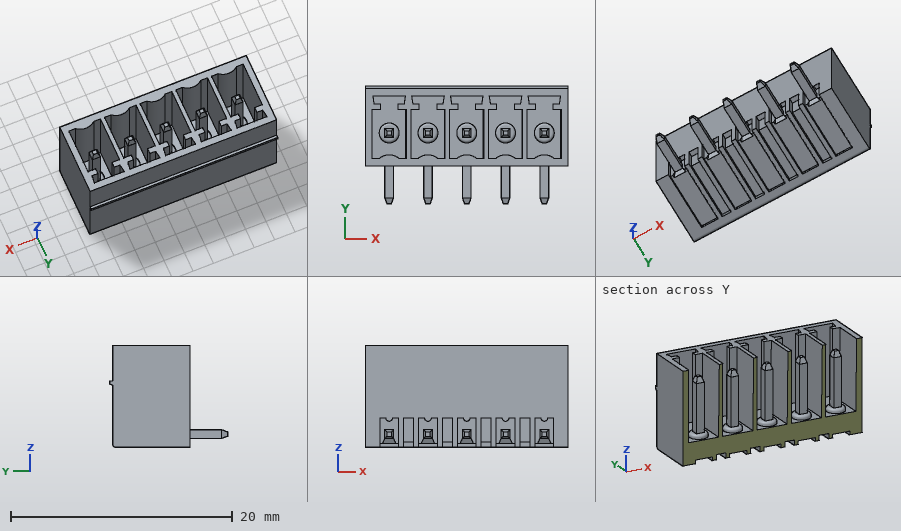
import cadquery as cq


pin_count = 5
pitch = 3.5
end_margin = 2.15
housing_width = (pin_count - 1) * pitch + 2 * end_margin
housing_depth = 7.0
housing_height = 9.2
bottom_rear_radius = 0.3

ridge_projection = 0.25
ridge_top = 6.0
ridge_tip_height = 0.3
ridge_root_height = 0.4

pocket_floor = 2.2
pocket_half_width = 1.55
pocket_front = 0.69
rail_front = 5.1
rail_rear = 5.62
rail_gap_half = 0.8
pocket_rear = 6.36
rear_half_width_wide = 1.47
rear_half_width_narrow = 1.36
bulge_half_chord = 0.9
bulge_height = 0.34
side_wall_draft = 0.08
rear_wall_draft = 0.03

pin_size = 0.8
pin_tip_size = 0.4
pin_taper = 0.55
pin_top = 8.0
pin_y = 3.0
pin_projection = 3.4
pin_axis_height = 1.2
collar_diameter = 1.8
collar_height = 0.4
collar_radius = 0.25

recess_height = 2.65
channel_rear = 6.0
pin_recess_width = 1.7
pin_recess_depth = 0.4
pin_channel_height = 0.35
web_recess_width = 0.92
web_recess_depth = 0.5
web_channel_height = 0.5
recess_rib_radius = 0.3
relief_top_width = pin_size
relief_bottom_width = 1.2
relief_depth = 0.26

pin_positions = [(i - (pin_count - 1) / 2) * pitch for i in range(pin_count)]
web_positions = [x + pitch / 2 for x in pin_positions[:-1]]


def box(width, y_start, y_end, z_start, z_end):
    """Block centred on X = 0 between the given Y and Z limits."""
    size = (width, y_end - y_start, z_end - z_start)
    return cq.Workplane("XY").box(*size, centered=(True, False, False)).translate((0, y_start, z_start))


def extrude_along_x(points, x_start, x_end):
    """Prism along X with its outline given as (Y, Z) points."""
    outline = cq.Workplane("YZ", origin=(x_start, 0, 0)).polyline(points).close()
    return outline.extrude(x_end - x_start)


def make_housing():
    block = box(housing_width, 0, housing_depth, 0, housing_height)
    block = block.edges("|X and >Y and <Z").fillet(bottom_rear_radius)
    rear_tip = housing_depth + ridge_projection
    ridge_outline = [
        (pocket_rear, ridge_top),
        (rear_tip, ridge_top),
        (rear_tip, ridge_top - ridge_tip_height),
        (housing_depth, ridge_top - ridge_root_height),
        (pocket_rear, ridge_top - ridge_root_height),
    ]
    return block.union(extrude_along_x(ridge_outline, -housing_width / 2, housing_width / 2))


def make_pocket():
    """Pocket cutter with a keyed rear part, a bulged front, and draft on its +X and rear walls."""
    outline = (
        cq.Workplane("XY", origin=(0, 0, pocket_floor))
        .moveTo(-pocket_half_width, pocket_front)
        .lineTo(-bulge_half_chord, pocket_front)
        .threePointArc((0, pocket_front + bulge_height), (bulge_half_chord, pocket_front))
        .lineTo(pocket_half_width, pocket_front)
        .lineTo(pocket_half_width, rail_front)
        .lineTo(rail_gap_half, rail_front)
        .lineTo(rail_gap_half, rail_rear)
        .lineTo(rear_half_width_narrow, rail_rear)
        .lineTo(rear_half_width_wide, pocket_rear)
        .lineTo(-rear_half_width_wide, pocket_rear)
        .lineTo(-rear_half_width_narrow, rail_rear)
        .lineTo(-rail_gap_half, rail_rear)
        .lineTo(-rail_gap_half, rail_front)
        .lineTo(-pocket_half_width, rail_front)
        .close()
    )
    pocket = outline.extrude(housing_height - pocket_floor)
    side_draft = (
        cq.Workplane("XZ", origin=(0, rail_front, 0))
        .moveTo(pocket_half_width, pocket_floor)
        .lineTo(pocket_half_width, housing_height)
        .lineTo(pocket_half_width - side_wall_draft, pocket_floor)
        .close()
        .extrude(rail_front - pocket_front)
    )
    rear_draft_outline = [
        (pocket_rear, pocket_floor),
        (pocket_rear, housing_height),
        (pocket_rear - rear_wall_draft, pocket_floor),
    ]
    rear_draft = extrude_along_x(rear_draft_outline, -rear_half_width_wide, rear_half_width_wide)
    return pocket.cut(side_draft).cut(rear_draft)


def make_pin_recess():
    """Front recess under a half-round rib, with its bottom channel and the sloped relief below the pin."""
    recess = box(pin_recess_width, 0, pin_recess_depth, 0, recess_height)
    rib = (
        cq.Workplane("XZ")
        .center(0, recess_height)
        .circle(recess_rib_radius)
        .extrude(-pin_recess_depth)
    )
    channel = box(pin_recess_width, 0, channel_rear, 0, pin_channel_height)
    return recess.cut(rib).union(channel).union(make_relief())


def make_relief():
    relief_top = pin_axis_height - pin_size / 2
    relief_rear = pin_recess_depth + relief_depth
    front_outline = [
        (-relief_bottom_width / 2, pin_channel_height),
        (relief_bottom_width / 2, pin_channel_height),
        (relief_top_width / 2, relief_top),
        (-relief_top_width / 2, relief_top),
    ]
    side_outline = [
        (pin_recess_depth, pin_channel_height),
        (relief_rear, pin_channel_height),
        (pin_recess_depth, relief_top),
    ]
    trapezoid = cq.Workplane("XZ").polyline(front_outline).close().extrude(-relief_rear)
    wedge = extrude_along_x(side_outline, -relief_bottom_width / 2, relief_bottom_width / 2)
    return trapezoid.intersect(wedge)


def make_web_recess():
    recess = box(web_recess_width, 0, web_recess_depth, 0, recess_height)
    return recess.union(box(web_recess_width, 0, channel_rear, 0, web_channel_height))


def make_square_leg(length):
    """Square leg along +Z from the origin, with a tapered tip."""
    shank = box(pin_size, -pin_size / 2, pin_size / 2, 0, length - pin_taper)
    tip = (
        cq.Workplane("XY", origin=(0, 0, length - pin_taper))
        .rect(pin_size, pin_size)
        .workplane(offset=pin_taper)
        .rect(pin_tip_size, pin_tip_size)
        .loft(combine=True)
    )
    return shank.union(tip)


def make_pin():
    """Right-angle pin: an upright leg in the pocket and a level leg out of the front."""
    bottom = pin_axis_height - pin_size / 2
    upright = make_square_leg(pin_top - bottom).translate((0, pin_y, bottom))
    level_length = pin_y + pin_projection
    level = make_square_leg(level_length).rotate((0, 0, 0), (1, 0, 0), 90)
    level = level.translate((0, pin_y, pin_axis_height))
    collar = (
        cq.Workplane("XY", origin=(0, pin_y, pocket_floor))
        .circle(collar_diameter / 2)
        .extrude(collar_height)
        .faces(">Z")
        .edges()
        .fillet(collar_radius)
    )
    return upright.union(level).union(collar)


result = make_housing()

pocket = make_pocket()
pin_recess = make_pin_recess()
for x in pin_positions:
    result = result.cut(pocket.translate((x, 0, 0)))
    result = result.cut(pin_recess.translate((x, 0, 0)))

web_recess = make_web_recess()
for x in web_positions:
    result = result.cut(web_recess.translate((x, 0, 0)))

pin = make_pin()
for x in pin_positions:
    result = result.union(pin.translate((x, 0, 0)))